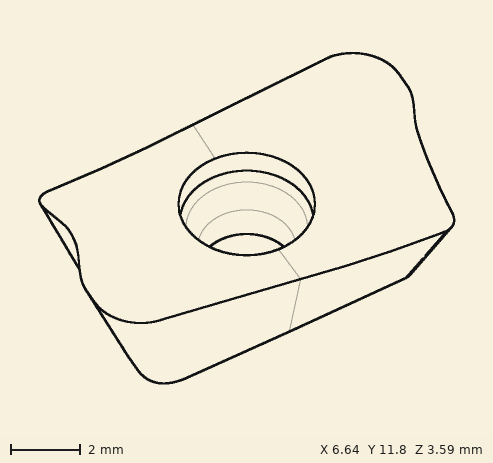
import cadquery as cq


WIDTH = 6.64
LENGTH = 11.75
HEIGHT = 3.59
HALF_WIDTH = WIDTH / 2
END_Y = -LENGTH / 2

VALLEY_Z = 2.99
LOW_EDGE_Y = -3.2
LOW_EDGE_Z = 2.635
SMALL_CORNER_RADIUS = 0.45
SMALL_CORNER_Y = -5.14
SMALL_CORNER_START_Z = 2.58
SMALL_CORNER_MID_Z = 2.60
SMALL_CORNER_END_Z = 2.68

RISE_LOWER = (-2.2, SMALL_CORNER_Y, 2.93)
RISE_UPPER = (-1.31, -5.17, 3.36)
CREST = (-0.35, -5.33, HEIGHT)
SWEEP_INNER = (0.04, -5.46, HEIGHT)
SWEEP_OUTER = (0.76, -5.77, HEIGHT)

NOSE_RADIUS = 1.5
NOSE_FLAT_LENGTH = 0.62

BASE_MIDDLE_X = 2.62
BASE_CORNER_SIDE = (-2.36, -3.86)
BASE_CORNER_END = (-1.98, -4.23)
BASE_END_MIDDLE = (-0.5, -4.21)
BASE_NOSE_Y = -4.52
BASE_NOSE_FLAT_START_X = 1.30
BASE_NOSE_FLAT_END_X = 1.85
BASE_NOSE_SIDE = (2.82, -3.5)

HOLE_DIAMETER = 2.8
SEAT_TOP_DIAMETER = 3.9
SEAT_TOP_Z = 2.90
SEAT_WALL_DIAMETER = 3.82
SEAT_WALL_Z = 2.17
SEAT_CURVE_DIAMETER = 3.48
SEAT_CURVE_Z = 1.87
SEAT_CURVE_MIDDLE = (1.49, 1.5)
THROAT_Z = 1.05

ARC_MIDDLE_INSET = 1 - 0.5 ** 0.5
SAMPLES_PER_EDGE = 12

ORIGIN = cq.Vector(0, 0, 0)
UP = cq.Vector(0, 0, 1)
ALONG_X = (1, 0, 0)
ALONG_Y = (0, 1, 0)


def line(start, end):
    return cq.Edge.makeLine(cq.Vector(*start), cq.Vector(*end))


def arc(start, middle, end):
    return cq.Edge.makeThreePointArc(cq.Vector(*start), cq.Vector(*middle), cq.Vector(*end))


def curve(points, tangents=None):
    """Spline through the points, optionally with given start and end directions."""
    directions = [cq.Vector(*tangent) for tangent in tangents] if tangents else None
    return cq.Edge.makeSpline([cq.Vector(*point) for point in points], directions)


def joined(edges):
    """One smooth curve along a chain of edges, each taking an equal share of the parameter.

    Two chains with the same number of edges then run in step, edge against edge.
    """
    steps = [k / SAMPLES_PER_EDGE for k in range(SAMPLES_PER_EDGE)]
    points = [edge.positionAt(step) for edge in edges for step in steps]
    points.append(edges[-1].positionAt(1))
    parameters = [k / (len(points) - 1) for k in range(len(points))]
    return cq.Edge.makeSpline(points, parameters=parameters)


def opposite(shape):
    """The same shape on the other half of the insert."""
    return shape.rotate(ORIGIN, UP, 180)


def rim_curve():
    """Top edge of the half: low side, small corner, S-shaped end, large corner, high side."""
    valley_left = (-HALF_WIDTH, 0, VALLEY_Z)
    valley_right = (HALF_WIDTH, 0, VALLEY_Z)
    low_edge = (-HALF_WIDTH, LOW_EDGE_Y, LOW_EDGE_Z)

    small_inset = SMALL_CORNER_RADIUS * ARC_MIDDLE_INSET
    small_start = (-HALF_WIDTH, SMALL_CORNER_Y + SMALL_CORNER_RADIUS, SMALL_CORNER_START_Z)
    small_middle = (-HALF_WIDTH + small_inset, SMALL_CORNER_Y + small_inset, SMALL_CORNER_MID_Z)
    small_end = (-HALF_WIDTH + SMALL_CORNER_RADIUS, SMALL_CORNER_Y, SMALL_CORNER_END_Z)

    nose_inset = NOSE_RADIUS * ARC_MIDDLE_INSET
    nose_start = (HALF_WIDTH - NOSE_RADIUS, END_Y, HEIGHT)
    nose_middle = (HALF_WIDTH - nose_inset, END_Y + nose_inset, HEIGHT)
    nose_end = (HALF_WIDTH, END_Y + NOSE_RADIUS, HEIGHT)
    flat_start = (nose_start[0] - NOSE_FLAT_LENGTH, END_Y, HEIGHT)

    return joined([
        curve([valley_left, low_edge, small_start]),
        curve([small_start, small_middle, small_end]),
        curve([small_end, RISE_LOWER, RISE_UPPER, CREST]),
        curve([CREST, SWEEP_INNER, SWEEP_OUTER, flat_start]),
        line(flat_start, nose_start),
        arc(nose_start, nose_middle, nose_end),
        line(nose_end, valley_right),
    ])


def base_curve():
    """Bottom edge of the half, with the same seven stretches as the rim."""
    middle_left = (-BASE_MIDDLE_X, 0, 0)
    middle_right = (BASE_MIDDLE_X, 0, 0)
    corner_side = (*BASE_CORNER_SIDE, 0)
    corner_end = (*BASE_CORNER_END, 0)
    end_middle = (*BASE_END_MIDDLE, 0)
    flat_start = (BASE_NOSE_FLAT_START_X, BASE_NOSE_Y, 0)
    flat_end = (BASE_NOSE_FLAT_END_X, BASE_NOSE_Y, 0)
    nose_side = (*BASE_NOSE_SIDE, 0)
    side_direction = (corner_side[0] - middle_left[0], corner_side[1], 0)

    return joined([
        line(middle_left, corner_side),
        curve([corner_side, corner_end], [side_direction, ALONG_X]),
        curve([corner_end, end_middle], [ALONG_X, ALONG_X]),
        curve([end_middle, flat_start], [ALONG_X, ALONG_X]),
        line(flat_start, flat_end),
        curve([flat_end, nose_side], [ALONG_X, ALONG_Y]),
        line(nose_side, middle_right),
    ])


def insert_body():
    """Solid insert without its hole.

    The flank is ruled from rim to base, the rake face from rim to the edge of the screw seat.
    """
    seat_radius = SEAT_TOP_DIAMETER / 2
    rim = rim_curve()
    base = base_curve()
    seat_edge = arc(
        (-seat_radius, 0, SEAT_TOP_Z),
        (0, -seat_radius, SEAT_TOP_Z),
        (seat_radius, 0, SEAT_TOP_Z),
    )
    flank = cq.Face.makeRuledSurface(rim, base)
    rake = cq.Face.makeRuledSurface(rim, seat_edge)
    bottom = cq.Face.makeFromWires(cq.Wire.assembleEdges([base, opposite(base)]))
    seat_cap = cq.Face.makeFromWires(cq.Wire.assembleEdges([seat_edge, opposite(seat_edge)]))
    shell = cq.Shell.makeShell([flank, rake, opposite(flank), opposite(rake), bottom, seat_cap])
    return cq.Workplane(cq.Solid.makeSolid(shell).fix())


def screw_hole():
    """Straight hole opening through a rounded seat into a slightly tapered head recess."""
    return (
        cq.Workplane("XZ")
        .lineTo(HOLE_DIAMETER / 2, 0)
        .lineTo(HOLE_DIAMETER / 2, THROAT_Z)
        .threePointArc(SEAT_CURVE_MIDDLE, (SEAT_CURVE_DIAMETER / 2, SEAT_CURVE_Z))
        .lineTo(SEAT_WALL_DIAMETER / 2, SEAT_WALL_Z)
        .lineTo(SEAT_TOP_DIAMETER / 2, SEAT_TOP_Z)
        .lineTo(0, SEAT_TOP_Z)
        .close()
        .revolve(360, (0, 0), (0, 1))
    )


result = insert_body().cut(screw_hole()).solids()